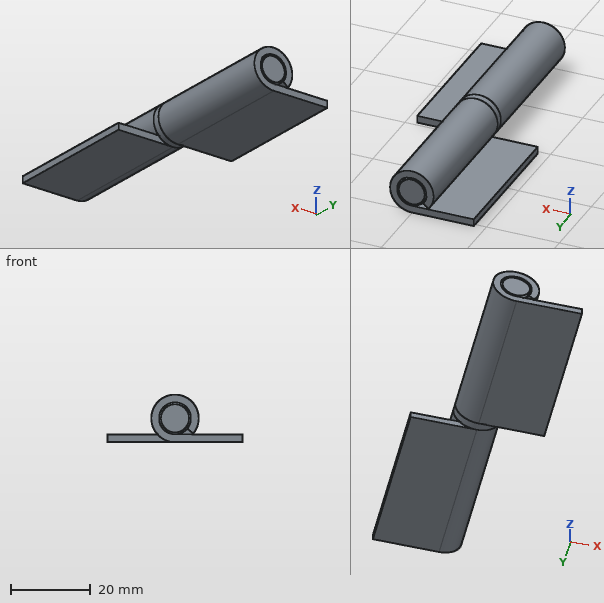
import cadquery as cq
import math


hinge_length = 82.0
hinge_width = 34.0
knuckle_diameter = 12.0
pin_diameter = 8.0
collar_length = 2.05
pin_chamfer = 0.5
curl_end_angle = 40.0

knuckle_radius = knuckle_diameter / 2
pin_radius = pin_diameter / 2
leaf_length = (hinge_length - collar_length) / 2
leaf_reach = hinge_width / 2


def on_circle(radius, angle):
    """Point on a circle about the pin axis, angle in degrees from +X towards +Z."""
    turn = math.radians(angle)
    return (radius * math.cos(turn), radius * math.sin(turn))


def make_leaf(turn_about_z):
    """Leaf on the -Y side with its plate towards +X, then turned about Z."""
    bottom_angle = 270.0
    free_end_angle = -curl_end_angle
    middle_angle = (bottom_angle + free_end_angle) / 2

    leaf = (
        cq.Workplane("XZ", origin=(0, -hinge_length / 2 + leaf_length, 0))
        .moveTo(leaf_reach, -knuckle_radius)
        .lineTo(0, -knuckle_radius)
        .threePointArc(on_circle(knuckle_radius, middle_angle), on_circle(knuckle_radius, free_end_angle))
        .lineTo(*on_circle(pin_radius, free_end_angle))
        .threePointArc(on_circle(pin_radius, middle_angle), (0, -pin_radius))
        .lineTo(leaf_reach, -pin_radius)
        .close()
        .extrude(leaf_length)
    )
    return leaf.rotate((0, 0, 0), (0, 0, 1), turn_about_z)


def make_pin():
    """Full-length pin with chamfered ends and a collar that spaces the leaves apart."""
    shaft = (
        cq.Workplane("XZ", origin=(0, hinge_length / 2, 0))
        .circle(pin_radius)
        .extrude(hinge_length)
        .faces("<Y or >Y")
        .chamfer(pin_chamfer)
    )
    collar = (
        cq.Workplane("XZ", origin=(0, collar_length / 2, 0))
        .circle(knuckle_radius)
        .extrude(collar_length)
    )
    return shaft.union(collar)


leaves = [make_leaf(turn_about_z) for turn_about_z in (0, 180)]
pin = make_pin()

result = cq.Compound.makeCompound([*[leaf.val() for leaf in leaves], pin.val()])